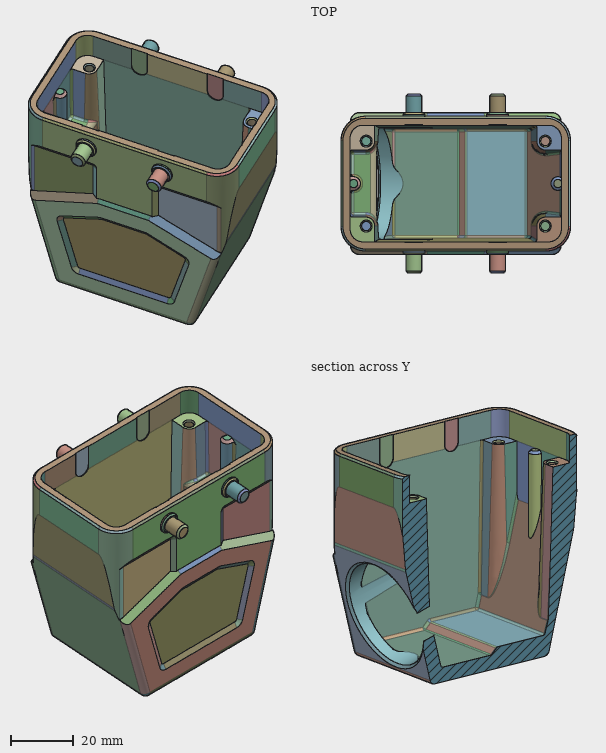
import cadquery as cq
import math

length = 73.0
height = 72.0
socket_width = 42.85
hood_width = 45.1
corner_radius = 7.75
rim_chamfer = 0.65

half_length = length / 2
half_socket = socket_width / 2
half_hood = hood_width / 2

upright_end_z = 61.0
knee_z = 40.3
knee_x = 34.45
knee_round = 6.6
foot_x = 24.0
end_lean = math.atan((knee_x - foot_x) / knee_z)
hood_fillet = 2.2
socket_base_z = 29.2

roof_z = 45.1
roof_half_flat = 9.35
roof_drop = 0.365
roof_chamfer = 2.2

recess_depth = 1.0
recess_slope_run = 1.75
recess_taper = math.degrees(math.atan(recess_slope_run / recess_depth))
window_top_z = 59.05
window_inner_x = 9.7
window_radius = 1.8
window_edge_round = 2.2
panel_top_z = 36.95
panel_half_top = 8.2
panel_shoulder_z = 31.0
panel_half_shoulder = 23.65
panel_bottom_z = 7.8
panel_half_bottom = 17.5
panel_radius = 2.6

pin_x = 13.3
pin_z = 65.8
pin_radius = 2.55
pin_span = 57.0
pin_chamfer = 0.65
collar_radius = 3.5
collar_height = 1.1
collar_chamfer = 0.5

mouth_half_length = 33.6
mouth_half_width = 18.55
mouth_radius = 4.1
mouth_floor_z = 62.8
floor_half_width = 17.3
low_floor_z = 4.75
high_floor_z = 7.0
floor_step_x = (0.9, 3.2)
floor_fillet = 0.9
inner_foot_x = 22.6
inner_knee_x = 33.15
inner_knee_z = 43.5
pad_foot_x = 20.0
pad_face_x = 25.1
pad_knee_z = 25.55
shelf_z = 42.0
shelf_round = 2.0

groove_radius = 2.8
groove_center_z = 64.25
groove_depth = 0.2

boss_inner_x = 25.8
boss_inner_y = 10.65
boss_radius = 2.8
boss_draft = 2.0
screw_x = 28.5
screw_y = 13.5
screw_radius = 1.45
screw_depth = 14.6
screw_chamfer = 0.45

root_fillet = 0.7

rib_x = 32.5
rib_radius = 2.2
rib_chamfer = 0.9

entry_radius = 17.9
entry_z = 20.0
entry_chamfer = 0.9
entry_length = 21.9

SIDES = (-1, 1)


def end_x(z):
    """Distance from the middle to the strongly leaning part of the end wall."""
    return foot_x + z * math.tan(end_lean)


def mirrored(points):
    """Close a right-hand half outline with its mirror image about X = 0."""
    return points + [(-x, z) for x, z in reversed(points)]


def prism_along_y(points, half_width):
    """Extrude an X-Z outline to both sides of the middle plane."""
    return cq.Workplane("XZ").polyline(points).close().extrude(half_width, both=True)


def round_ridge(solid, x, z, radius):
    """Fillet the edge along Y that passes nearest to (x, z)."""
    ridge = cq.selectors.NearestToPointSelector((x, 0, z))
    return solid.edges("|Y").edges(ridge).fillet(radius)


def both_faces(solid):
    """A feature on the -Y face together with its mirror image on +Y."""
    return solid.union(solid.mirror("XZ"))


def make_socket():
    block = (
        cq.Workplane("XY")
        .rect(length, socket_width)
        .extrude(height)
        .edges("|Z").fillet(corner_radius)
        .faces(">Z").edges().chamfer(rim_chamfer)
    )
    end_outline = mirrored([
        (end_x(socket_base_z), socket_base_z),
        (knee_x, knee_z),
        (half_length, upright_end_z),
        (half_length, height),
    ])
    ends = prism_along_y(end_outline, half_socket)
    for side in SIDES:
        ends = round_ridge(ends, side * knee_x, knee_z, knee_round)
    socket = block.intersect(ends)
    for side in SIDES:
        window = (
            cq.Workplane("XZ", origin=(0, -half_socket, 0))
            .moveTo(side * (window_inner_x + length / 2), window_top_z / 2)
            .sketch().rect(length, window_top_z).vertices().fillet(window_radius).finalize()
            .extrude(-recess_depth, taper=recess_taper)
        )
        socket = socket.cut(both_faces(window))
    run_out_x = half_length - corner_radius + math.sqrt(
        corner_radius ** 2 - (corner_radius - recess_depth) ** 2
    )
    run_out_y = half_socket - recess_depth
    for x_side in SIDES:
        for y_side in SIDES:
            run_out = cq.selectors.NearestToPointSelector(
                (x_side * run_out_x, y_side * run_out_y, knee_z)
            )
            socket = socket.edges("|Z").edges(run_out).fillet(window_edge_round)
    return socket


def make_hood():
    body = prism_along_y(mirrored([(foot_x, 0), (end_x(roof_z), roof_z)]), half_hood)
    body = body.edges("<Z or (not(|X or |Y))").fillet(hood_fillet)
    eave_z = roof_z - roof_drop * (length - roof_half_flat)
    roof = prism_along_y(
        mirrored([(length, -length), (length, eave_z), (roof_half_flat, roof_z)]), half_hood
    )
    roof_edges = cq.selectors.BoxSelector(
        (-half_length - roof_half_flat, -hood_width, eave_z),
        (half_length + roof_half_flat, hood_width, height),
    )
    roof = roof.edges("not |Y").edges(roof_edges).chamfer(roof_chamfer)
    return body.intersect(roof)


def make_panels():
    outline = mirrored([
        (panel_half_bottom, panel_bottom_z),
        (panel_half_shoulder, panel_shoulder_z),
        (panel_half_top, panel_top_z),
    ])
    panel = (
        cq.Workplane("XZ", origin=(0, -half_hood, 0))
        .sketch().polygon(outline + outline[:1])
        .vertices().fillet(panel_radius).finalize()
        .extrude(-recess_depth, taper=recess_taper)
    )
    return both_faces(panel)


def make_pins():
    pins = cq.Workplane("XY")
    for side in SIDES:
        face = cq.Workplane("XZ", origin=(side * pin_x, -half_socket, pin_z))
        collar = (
            face.circle(collar_radius).extrude(collar_height)
            .faces("<Y").edges().chamfer(collar_chamfer)
        )
        pin = (
            face.circle(pin_radius).extrude(pin_span / 2 - half_socket)
            .faces("<Y").edges().chamfer(pin_chamfer)
        )
        pins = pins.add(both_faces(collar.union(pin)))
    return pins.combine()


def make_cavity():
    chamber = prism_along_y(
        [
            (mouth_half_length, mouth_floor_z),
            (inner_knee_x, inner_knee_z),
            (inner_foot_x, high_floor_z),
            (floor_step_x[1], high_floor_z),
            (floor_step_x[0], low_floor_z),
            (-pad_foot_x, low_floor_z),
            (-pad_face_x, pad_knee_z),
            (-pad_face_x, shelf_z),
            (-inner_knee_x, shelf_z),
            (-mouth_half_length, mouth_floor_z),
        ],
        mouth_half_width,
    )
    chamber = round_ridge(chamber, -pad_face_x, shelf_z, shelf_round)
    for x, z in (
        (-inner_knee_x, shelf_z),
        (-pad_foot_x, low_floor_z),
        (floor_step_x[0], low_floor_z),
        (floor_step_x[1], high_floor_z),
        (inner_foot_x, high_floor_z),
    ):
        chamber = round_ridge(chamber, x, z, floor_fillet)
    corners = (
        cq.Workplane("XY")
        .rect(2 * mouth_half_length, 2 * mouth_half_width)
        .extrude(height)
        .edges("|Z").fillet(mouth_radius)
    )
    drafted = (
        cq.Workplane("YZ")
        .polyline(mirrored([(floor_half_width, low_floor_z), (mouth_half_width, mouth_floor_z)]))
        .close()
        .extrude(length, both=True)
        .intersect(corners)
    )
    chamber = chamber.intersect(drafted)
    floor_edges = cq.selectors.BoxSelector(
        (-pad_foot_x, -mouth_half_width, 0), (inner_foot_x, mouth_half_width, high_floor_z + floor_fillet)
    )
    chamber = chamber.edges("|X").edges(floor_edges).fillet(floor_fillet)
    above_floor = cq.Workplane("XY", origin=(0, 0, mouth_floor_z)).rect(length, length).extrude(height)
    mouth = corners.intersect(above_floor)
    return mouth.union(chamber)


def make_grooves():
    grooves = cq.Workplane("XY")
    top = height - groove_center_z
    for side in SIDES:
        start = cq.Workplane("XZ", origin=(side * pin_x, 0, groove_center_z))
        groove = start.circle(groove_radius).extrude(mouth_half_width + groove_depth, both=True)
        slot = (
            start.moveTo(0, top / 2).rect(2 * groove_radius, top)
            .extrude(mouth_half_width + groove_depth, both=True)
        )
        grooves = grooves.add(groove.union(slot))
    return grooves.combine()


def make_inner_posts():
    """Screw bosses in the four corners and a slim rib in the middle of each end."""
    posts = cq.Workplane("XY")
    boss_length = half_length - boss_inner_x
    boss_width = half_socket - boss_inner_y
    for x_side in SIDES:
        rib = (
            cq.Workplane("XY", origin=(x_side * rib_x, 0, 0))
            .circle(rib_radius).extrude(mouth_floor_z)
            .faces(">Z").edges().chamfer(rib_chamfer)
        )
        posts = posts.add(rib)
        for y_side in SIDES:
            boss = (
                cq.Workplane("XY", origin=(0, 0, mouth_floor_z))
                .center(
                    x_side * (boss_inner_x + boss_length / 2),
                    y_side * (boss_inner_y + boss_width / 2),
                )
                .sketch().rect(boss_length, boss_width).vertices().fillet(boss_radius).finalize()
                .extrude(-mouth_floor_z, taper=-boss_draft)
            )
            posts = posts.add(boss)
    return posts.combine()


def make_screw_holes():
    spots = (
        cq.Workplane("XY", origin=(0, 0, mouth_floor_z))
        .rect(2 * screw_x, 2 * screw_y, forConstruction=True).vertices()
    )
    hole = spots.circle(screw_radius).extrude(-screw_depth)
    sink = spots.circle(screw_radius + screw_chamfer).extrude(-screw_chamfer, taper=45)
    return hole.union(sink)


def make_entry():
    """Round opening square to the leaning -X end wall, with a chamfered mouth."""
    inward = (math.cos(end_lean), 0, math.sin(end_lean))
    mouth = cq.Workplane(cq.Plane(
        origin=(-end_x(entry_z), 0, entry_z), xDir=(0, 1, 0), normal=inward
    ))
    bore = mouth.circle(entry_radius).extrude(entry_length)
    flare = mouth.circle(entry_radius + entry_chamfer).extrude(entry_chamfer, taper=45)
    return bore.union(flare)


def make_room():
    """The cavity less the posts, with the roots of the posts rounded."""
    room = make_cavity().cut(make_inner_posts())
    shelf_roots = cq.selectors.BoxSelector(
        (-half_length, -boss_inner_y - boss_radius, shelf_z - root_fillet),
        (-pad_face_x - shelf_round, boss_inner_y + boss_radius, shelf_z + root_fillet),
    )
    room = room.edges(shelf_roots).edges("not |Y").fillet(root_fillet)
    for side in SIDES:
        wall_root = cq.selectors.NearestToPointSelector(
            (boss_inner_x, side * mouth_half_width, mouth_floor_z / 2)
        )
        room = room.edges(wall_root).fillet(root_fillet)
    return room


shell = make_socket().union(make_hood())

part = (
    shell
    .cut(make_panels())
    .cut(make_room())
    .cut(make_grooves())
    .cut(make_screw_holes())
    .cut(make_entry())
    .union(make_pins())
)

result = cq.Workplane(part.solids().val())